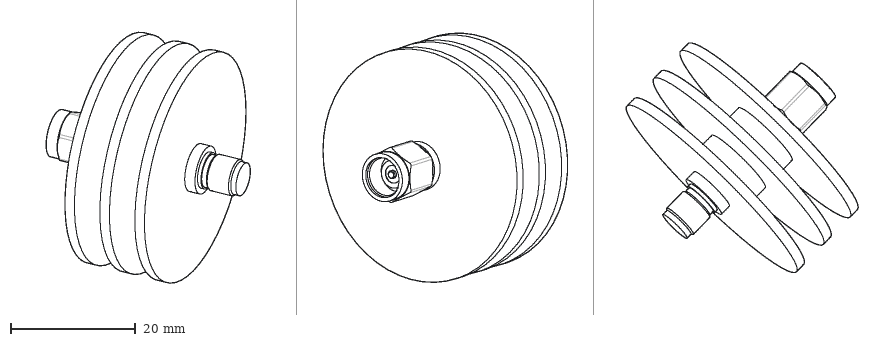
import cadquery as cq
import math

plug_face_x = 0.0
socket_face_x = 33.05

fin_diameter = 38.0
fin_thickness = 1.7
fin_pitch = 6.2
fin_count = 3
first_fin_x = 10.47
hub_diameter = 12.0

collar_diameter = 7.9
plug_collar_x = 8.89
socket_collar_end_x = 26.39

sleeve_diameter = 7.85
nut_across_flats = 7.95
nut_corner_radius = 0.5
nut_start_x = 1.95
nut_end_x = 8.52
nut_chamfer_angle = 30.0
nut_chamfer_start_diameter = 7.65
neck_diameter = 6.5

bore_diameter = 6.1
bore_mouth_diameter = 6.5
bore_mouth_cone_length = 0.25
bore_mouth_depth = 0.5
bore_floor_x = 4.0
outer_conductor_diameter = 4.5
outer_conductor_bore = 2.9
outer_conductor_face_x = 2.9
dielectric_face_x = 3.0
pin_diameter = 1.3
pin_tip_diameter = 1.0
pin_tip_x = 2.4
pin_chamfer = (pin_diameter - pin_tip_diameter) / 2

shoulder_diameter = 6.0
shoulder_end_x = 27.0
thread_diameter = 6.0
thread_root_diameter = 5.45
thread_start_x = 28.1
thread_end_x = 31.87
thread_chamfer = (thread_diameter - thread_root_diameter) / 2


def cylinder(diameter, start_x, end_x):
    """Solid cylinder about the X axis between two stations."""
    return cq.Workplane("YZ", origin=(start_x, 0, 0)).circle(diameter / 2).extrude(end_x - start_x)


def make_heat_sink():
    """Hub with its evenly spaced disc fins."""
    last_fin_x = first_fin_x + (fin_count - 1) * fin_pitch
    body = cylinder(hub_diameter, first_fin_x, last_fin_x + fin_thickness)
    for index in range(fin_count):
        fin_x = first_fin_x + index * fin_pitch
        body = body.union(cylinder(fin_diameter, fin_x, fin_x + fin_thickness))
    return body


def make_nut_hexagon():
    """Hexagonal prism, corners up and down, chamfered at both ends."""
    length = nut_end_x - nut_start_x
    across_corners = nut_across_flats / math.cos(math.pi / 6)
    prism = (
        cq.Workplane("YZ", origin=(nut_start_x, 0, 0))
        .transformed(rotate=(0, 0, 90))
        .polygon(6, across_corners)
        .extrude(length)
        .edges("|X")
        .fillet(nut_corner_radius)
    )
    face_radius = nut_chamfer_start_diameter / 2
    corner_radius = across_corners / 2
    chamfer_length = (corner_radius - face_radius) * math.tan(math.radians(nut_chamfer_angle))
    envelope = (
        cq.Workplane("XY")
        .moveTo(nut_start_x, 0)
        .lineTo(nut_start_x, face_radius)
        .lineTo(nut_start_x + chamfer_length, corner_radius)
        .lineTo(nut_end_x - chamfer_length, corner_radius)
        .lineTo(nut_end_x, face_radius)
        .lineTo(nut_end_x, 0)
        .close()
        .revolve(360, (0, 0, 0), (1, 0, 0))
    )
    return prism.intersect(envelope)


def make_plug_exterior():
    """Sleeve, nut, neck and collar on the -X side of the fins."""
    sleeve = cylinder(sleeve_diameter, plug_face_x, nut_start_x)
    neck = cylinder(neck_diameter, nut_end_x, plug_collar_x)
    collar = cylinder(collar_diameter, plug_collar_x, first_fin_x)
    return sleeve.union(make_nut_hexagon()).union(neck).union(collar)


def make_plug_cavity():
    """Stepped bore around the outer conductor, and the bore around the pin."""
    mouth = cylinder(bore_mouth_diameter, plug_face_x, plug_face_x + bore_mouth_depth)
    mouth_cone = cq.Workplane(
        cq.Solid.makeCone(
            bore_mouth_diameter / 2,
            bore_diameter / 2,
            bore_mouth_cone_length,
            cq.Vector(plug_face_x + bore_mouth_depth, 0, 0),
            cq.Vector(1, 0, 0),
        )
    )
    bore = cylinder(bore_diameter, plug_face_x, bore_floor_x)
    outer_conductor = cylinder(outer_conductor_diameter, outer_conductor_face_x, bore_floor_x)
    pin_bore = cylinder(outer_conductor_bore, outer_conductor_face_x, dielectric_face_x)
    pin = cylinder(pin_diameter, pin_tip_x, dielectric_face_x).faces("<X").chamfer(pin_chamfer)
    return mouth.union(mouth_cone).union(bore).cut(outer_conductor).union(pin_bore).cut(pin)


def make_socket():
    """Collar, shoulder, relief groove, thread barrel and pilot on the +X side."""
    collar = cylinder(collar_diameter, first_fin_x, socket_collar_end_x)
    shoulder = cylinder(shoulder_diameter, socket_collar_end_x, shoulder_end_x)
    root = cylinder(thread_root_diameter, shoulder_end_x, socket_face_x)
    thread = cylinder(thread_diameter, thread_start_x - thread_chamfer, thread_end_x + thread_chamfer)
    thread = thread.faces("<X or >X").chamfer(thread_chamfer)
    return collar.union(shoulder).union(root).union(thread)


result = (
    make_heat_sink()
    .union(make_plug_exterior())
    .union(make_socket())
    .cut(make_plug_cavity())
)